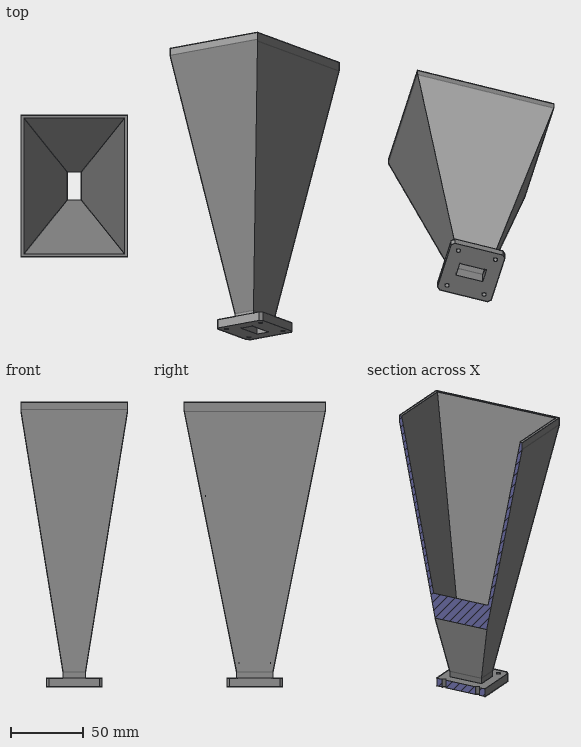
import cadquery as cq

bore_x = 9.525
bore_y = 19.05
wall = 3.0

flange_side = 38.3
flange_thickness = 6.0
flange_chamfer = 2.0
hole_spacing_x = 28.5
hole_spacing_y = 26.4
hole_diameter = 2.8

neck_x = bore_x + 2 * wall
neck_y = bore_y + 2 * wall
horn_base_z = 10.0

total_height = 195.0
mouth_x = 73.19
mouth_y = 97.27
rim_wall = 2.0
mouth_bore_x = mouth_x - 2 * rim_wall
mouth_bore_y = mouth_y - 2 * rim_wall

rim_depth_x_faces = 6.2
rim_depth_y_faces = 5.0


def box_on_axis(size_x, size_y, z_bottom, z_top):
    """Upright box centred on the Z axis."""
    box = cq.Workplane("XY").workplane(offset=z_bottom).rect(size_x, size_y)
    return box.extrude(z_top - z_bottom)


def prism(plane, outline, depth):
    """Closed outline extruded symmetrically about its plane."""
    return cq.Workplane(plane).polyline(outline).close().extrude(depth / 2, both=True)


def flared_outline(base_width, mouth_width, rim_depth):
    """Side outline of the horn: sloped flanks that end in a vertical rim."""
    half_base = base_width / 2
    half_mouth = mouth_width / 2
    rim_z = total_height - rim_depth
    return [
        (-half_base, horn_base_z),
        (half_base, horn_base_z),
        (half_mouth, rim_z),
        (half_mouth, total_height),
        (-half_mouth, total_height),
        (-half_mouth, rim_z),
    ]


def make_flange():
    """Flange plate with chamfered corners and four through holes."""
    flange = box_on_axis(flange_side, flange_side, 0, flange_thickness)
    flange = flange.edges("|Z").chamfer(flange_chamfer)
    holes = (
        cq.Workplane("XY")
        .rarray(hole_spacing_x, hole_spacing_y, 2, 2)
        .circle(hole_diameter / 2)
        .extrude(flange_thickness)
    )
    return flange.cut(holes)


def make_horn_body():
    """Solid horn: the common volume of its two flared side profiles."""
    across_x = prism("XZ", flared_outline(neck_x, mouth_x, rim_depth_x_faces), mouth_y)
    across_y = prism("YZ", flared_outline(neck_y, mouth_y, rim_depth_y_faces), mouth_x)
    return across_x.intersect(across_y)


def make_bore():
    """Straight waveguide channel that flares to the open mouth."""
    channel = box_on_axis(bore_x, bore_y, 0, horn_base_z)
    flare = (
        cq.Workplane("XY")
        .workplane(offset=horn_base_z)
        .rect(bore_x, bore_y)
        .workplane(offset=total_height - horn_base_z)
        .rect(mouth_bore_x, mouth_bore_y)
        .loft(ruled=True)
    )
    return channel.union(flare)


neck = box_on_axis(neck_x, neck_y, flange_thickness, horn_base_z)
result = make_flange().union(neck).union(make_horn_body()).cut(make_bore())